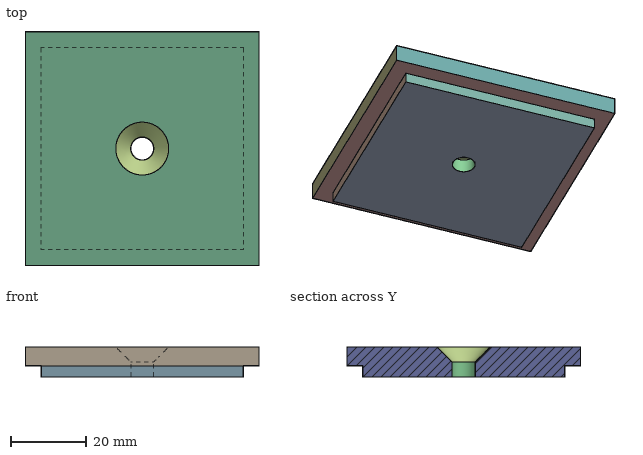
import cadquery as cq

plate_side = 62.0
plate_thickness = 5.0

total_height = 8.0
step_side = 53.55
step_height = total_height - plate_thickness

hole_diameter = 6.0
countersink_diameter = 14.0
countersink_angle = 90.0

step = cq.Workplane("XY").rect(step_side, step_side).extrude(step_height)
plate = (
    cq.Workplane("XY")
    .workplane(offset=step_height)
    .rect(plate_side, plate_side)
    .extrude(plate_thickness)
)

result = (
    plate.union(step)
    .faces(">Z")
    .workplane(origin=(0, 0, total_height))
    .cskHole(hole_diameter, countersink_diameter, countersink_angle)
)